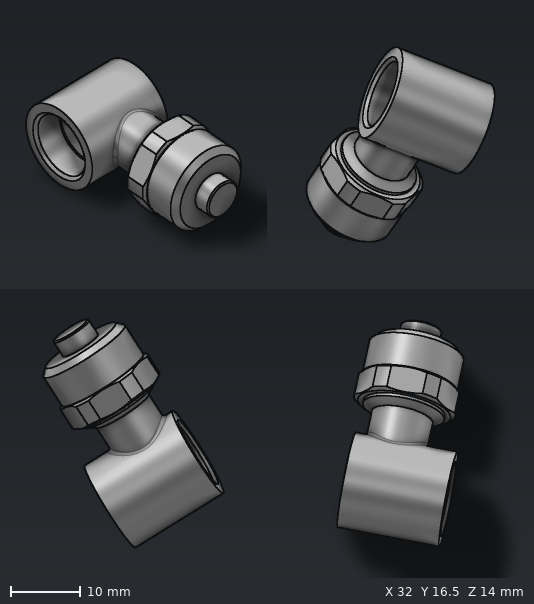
import cadquery as cq
import math

overall_length = 32

ring_radius = 7.0
ring_length = 15.0
ring_back = 6.0
ring_front = ring_back - ring_length
bore_radius = 5.0
bore_chamfer = 0.5
groove_depth = 0.4
groove_width = 0.3
groove_setback = 4.75

neck_radius = 4.5
collar_radius = 6.0
collar_start = 10.98
collar_cone_length = 0.9
nut_start = 12.35
nut_length = 4.0
nut_flats = 14.0
nut_corner_radius = 7.5
nut_chamfer_length = 0.4
nut_chamfer_depth = 0.65
body_radius = ring_radius
body_end = 22.35
body_chamfer = 1.0
stub_radius = 3.0
stub_end = overall_length - ring_radius
stub_chamfer = 0.22
joint_fillet = 0.5


def rod(radius, start, end):
    """Solid cylinder along X between two positions."""
    return cq.Workplane("YZ").workplane(offset=start).circle(radius).extrude(end - start)


def revolve_about_x(outline):
    """Revolve an (x, radius) outline about the X axis."""
    return cq.Workplane("XY").polyline(outline).close().revolve(360, (0, 0, 0), (1, 0, 0))


def cylinder_along_y(radius, front, length):
    """Solid cylinder along Y, running back from its front end."""
    return cq.Workplane("XZ", origin=(0, front, 0)).circle(radius).extrude(-length)


def make_nut():
    """Hexagon with flats facing +Z and -Z, its corners turned round and chamfered."""
    nut_end = nut_start + nut_length
    corner_diameter = nut_flats / math.cos(math.radians(30))
    hexagon = cq.Workplane("YZ").workplane(offset=nut_start).polygon(6, corner_diameter).extrude(nut_length)
    end_radius = nut_corner_radius - nut_chamfer_depth
    turned = revolve_about_x([
        (nut_start, 0),
        (nut_start, end_radius),
        (nut_start + nut_chamfer_length, nut_corner_radius),
        (nut_end - nut_chamfer_length, nut_corner_radius),
        (nut_end, end_radius),
        (nut_end, 0),
    ])
    return hexagon.intersect(turned)


joint = cylinder_along_y(ring_radius, ring_front, ring_length).union(rod(neck_radius, 0, collar_start))
box_margin = 0.32
box_reach = neck_radius + box_margin
joint_edge = cq.selectors.BoxSelector(
    (ring_radius / 2, -box_reach, -box_reach),
    (collar_start - box_margin, box_reach, box_reach),
)
joint = joint.edges("not(%CIRCLE or %LINE)").edges(joint_edge).fillet(joint_fillet)

bore = cylinder_along_y(bore_radius, ring_front, ring_length)
for end_y, inward in ((ring_front, 1), (ring_back, -1)):
    cone = cq.Solid.makeCone(
        bore_radius + bore_chamfer, bore_radius, bore_chamfer,
        pnt=cq.Vector(0, end_y, 0), dir=cq.Vector(0, inward, 0),
    )
    bore = bore.union(cq.Workplane(obj=cone))

groove = cylinder_along_y(bore_radius + groove_depth, ring_front + groove_setback, groove_width)
bore = bore.union(groove)

collar = revolve_about_x([
    (collar_start, 0),
    (collar_start, neck_radius),
    (collar_start + collar_cone_length, collar_radius),
    (nut_start, collar_radius),
    (nut_start, 0),
])

body = rod(body_radius, nut_start + nut_length, body_end).faces(">X").chamfer(body_chamfer)
stub = rod(stub_radius, body_end, stub_end).faces(">X").chamfer(stub_chamfer)

result = joint.cut(bore).union(collar).union(make_nut()).union(body).union(stub)